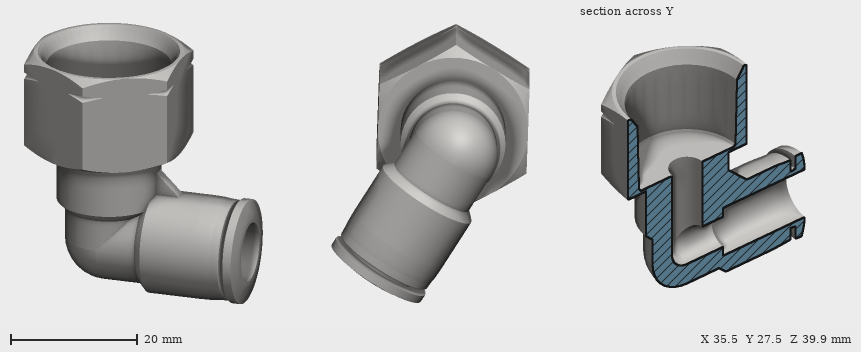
import cadquery as cq
import math


overall_length = 35.45
overall_height = 39.9
ring_diameter = 16.8

across_flats = 23.82
hex_height = 16.05
hex_top = overall_height - ring_diameter / 2
hex_bottom = hex_top - hex_height
hex_chamfer_angle = 30.0
corner_radius = across_flats / 2 / math.cos(math.pi / 6)
chamfer_drop = (corner_radius - across_flats / 2) * math.tan(math.radians(hex_chamfer_angle))

groove_z = 28.5
groove_root_radius = 12.4
groove_half_width = 0.55

countersink_diameter = 22.6
bore_diameter = 19.85
bore_end_diameter = 19.25
floor_diameter = 18.65
countersink_depth = 2.2
bore_end_z = 16.55
floor_z = 16.15

elbow_diameter = 13.95
collar_diameter = 16.65
elbow_radius = elbow_diameter / 2
collar_radius = collar_diameter / 2
cone_length = collar_radius - elbow_radius
leg_cone_start = 5.15
arm_cone_start = 6.4

crown_start = 16.3
crown_end = 19.3
crown_end_radius = 8.15
crown_bulge = 0.08
sleeve_end = 20.7
sleeve_end_diameter = 16.1
sleeve_chamfer = 0.1

neck_diameter = 11.55
neck_end = 21.23
neck_flare = 0.1
ring_start = 21.6
ring_rim_end = 22.95
ring_end = overall_length - across_flats / 2
ring_face_radius = 5.43
ring_bulge = 0.1

gusset_reach = 20.23
gusset_thickness = 2.0

passage_diameter = 6.0
tube_diameter = 9.55
tube_stop = 7.2


def revolve_about_z(points):
    """Revolve a closed (radius, z) outline about the Z axis."""
    return cq.Workplane("XZ").polyline(points).close().revolve(360, (0, 0, 0), (0, 1, 0))


def cylinder_along_x(diameter, start, end):
    return cq.Workplane("YZ", origin=(start, 0, 0)).circle(diameter / 2).extrude(end - start)


def make_hexagon():
    prism = (
        cq.Workplane("XY", origin=(0, 0, hex_bottom))
        .polygon(6, 2 * corner_radius)
        .extrude(hex_height)
        .rotate((0, 0, 0), (0, 0, 1), 30)
    )
    envelope = revolve_about_z([
        (0, hex_bottom),
        (across_flats / 2, hex_bottom),
        (corner_radius, hex_bottom + chamfer_drop),
        (corner_radius, hex_top - chamfer_drop),
        (across_flats / 2, hex_top),
        (0, hex_top),
    ])
    cutter_radius = 2 * corner_radius - groove_root_radius
    groove = revolve_about_z([
        (groove_root_radius, groove_z),
        (cutter_radius, groove_z + 2 * groove_half_width),
        (cutter_radius, groove_z - 2 * groove_half_width),
    ])
    return prism.intersect(envelope).cut(groove)


def make_leg():
    return revolve_about_z([
        (0, 0),
        (elbow_radius, 0),
        (elbow_radius, leg_cone_start),
        (collar_radius, leg_cone_start + cone_length),
        (collar_radius, hex_bottom),
        (0, hex_bottom),
    ])


def make_arm():
    """Arm, sleeve, neck and release ring as one solid of revolution."""
    sleeve_radius = sleeve_end_diameter / 2
    neck_radius = neck_diameter / 2
    ring_radius = ring_diameter / 2
    crown_middle = (
        (crown_start + crown_end) / 2,
        (collar_radius + crown_end_radius) / 2 + crown_bulge,
    )
    ring_middle = (
        (ring_rim_end + ring_end) / 2 + ring_bulge,
        (ring_radius + ring_face_radius) / 2,
    )
    return (
        cq.Workplane("XZ")
        .lineTo(0, elbow_radius)
        .lineTo(arm_cone_start, elbow_radius)
        .lineTo(arm_cone_start + cone_length, collar_radius)
        .lineTo(crown_start, collar_radius)
        .threePointArc(crown_middle, (crown_end, crown_end_radius))
        .lineTo(sleeve_end - sleeve_chamfer, sleeve_radius)
        .lineTo(sleeve_end, sleeve_radius - sleeve_chamfer)
        .lineTo(sleeve_end, neck_radius)
        .lineTo(neck_end, neck_radius)
        .lineTo(ring_start, neck_radius + neck_flare)
        .lineTo(ring_start, ring_radius)
        .lineTo(ring_rim_end, ring_radius)
        .threePointArc(ring_middle, (ring_end, ring_face_radius))
        .lineTo(ring_end, 0)
        .close()
        .revolve(360, (0, 0, 0), (1, 0, 0))
    )


def make_gusset():
    leg_overlap = elbow_radius
    return (
        cq.Workplane("XZ")
        .moveTo(leg_overlap, leg_overlap)
        .lineTo(gusset_reach - leg_overlap, leg_overlap)
        .lineTo(leg_overlap, gusset_reach - leg_overlap)
        .close()
        .extrude(gusset_thickness / 2, both=True)
    )


def make_socket_bore():
    return revolve_about_z([
        (0, floor_z),
        (floor_diameter / 2, floor_z),
        (bore_end_diameter / 2, bore_end_z),
        (bore_diameter / 2, hex_top - countersink_depth),
        (countersink_diameter / 2, hex_top),
        (0, hex_top),
    ])


def make_passage():
    """Right-angle passage with a spherical corner, opening into the tube socket."""
    corner = cq.Workplane("XY").sphere(passage_diameter / 2)
    vertical = cq.Workplane("XY").circle(passage_diameter / 2).extrude(hex_top)
    horizontal = cylinder_along_x(passage_diameter, 0, ring_end)
    tube_socket = cylinder_along_x(tube_diameter, tube_stop, ring_end)
    return corner.union(vertical).union(horizontal).union(tube_socket)


elbow_corner = cq.Workplane("XY").sphere(elbow_radius)
body = make_leg().union(make_arm()).union(elbow_corner).union(make_gusset()).union(make_hexagon())
result = body.cut(make_socket_bore()).cut(make_passage())